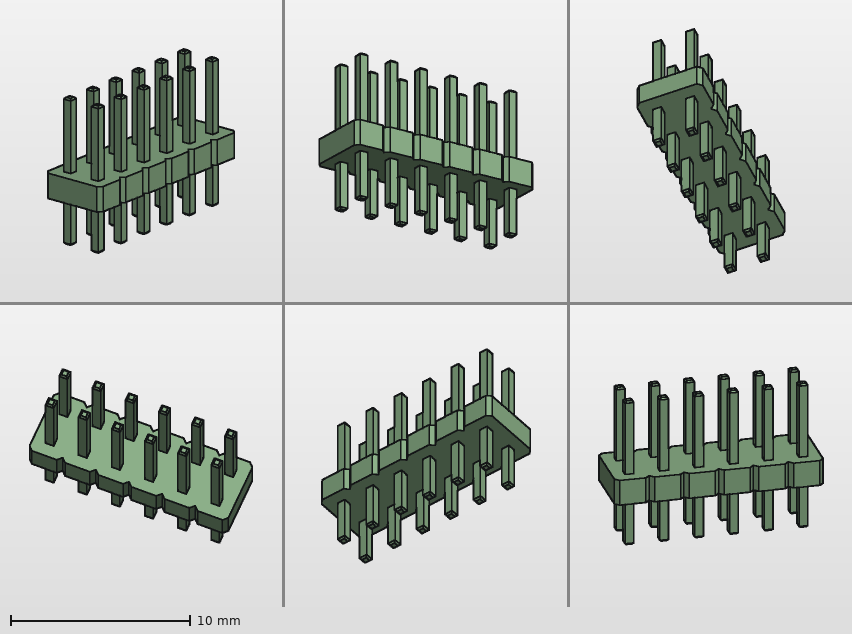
import cadquery as cq

rows = 6
columns = 2
length = 12.0
pitch = length / rows
width = columns * pitch

body_height = 1.5
corner_cut = 0.25

pin_side = 0.5
pin_length = 8.7
pin_below_body = 2.8
tip_chamfer = 0.102


def make_body():
    """Block with cut corners and a V notch on both long sides between rows."""
    half_width = width / 2
    right_side = []
    for row in range(rows):
        cell_start = row * pitch - length / 2
        cell_end = cell_start + pitch
        right_side += [
            (half_width - corner_cut, cell_start),
            (half_width, cell_start + corner_cut),
            (half_width, cell_end - corner_cut),
        ]
    right_side.append((half_width - corner_cut, length / 2))
    left_side = [(-x, y) for x, y in reversed(right_side)]
    return cq.Workplane("XY").polyline(right_side + left_side).close().extrude(body_height)


def make_pins():
    """Square pins passing through the body, chamfered at both tips."""
    return (
        cq.Workplane("XY", origin=(0, 0, -pin_below_body))
        .rarray(pitch, pitch, columns, rows)
        .rect(pin_side, pin_side)
        .extrude(pin_length)
        .faces("<Z or >Z")
        .chamfer(tip_chamfer)
    )


result = make_body().union(make_pins())